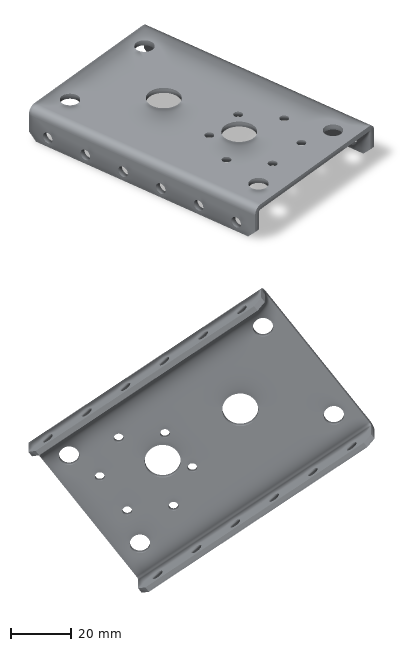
import cadquery as cq
import math

length = 96.0
width = 64.0
height = 12.7
thickness = 2.0
outer_bend_radius = 3.0
inner_bend_radius = outer_bend_radius - thickness
corner_chamfer = 3.0

flange_hole_diameter = 4.0
flange_hole_count = 6
flange_hole_pitch = length / flange_hole_count
flange_hole_z = 3.6

mount_hole_diameter = 6.8
mount_spacing_x = 80.0
mount_spacing_y = 40.0
large_hole_diameter = 12.0
large_hole_spacing = 2 * flange_hole_pitch
ring_hole_diameter = 3.3
ring_diameter = 31.0
ring_hole_count = 6
ring_center_x = 22.8


def channel():
    """U-shaped section with rounded bends, centred on X and Y and standing on Z = 0."""
    inner_width = width - 2 * thickness
    inner_height = height - thickness
    outside = (
        cq.Workplane("XY").box(length, width, height, centered=(True, True, False))
        .edges("|X and >Z").fillet(outer_bend_radius)
    )
    inside = (
        cq.Workplane("XY").box(length, inner_width, inner_height, centered=(True, True, False))
        .edges("|X and >Z").fillet(inner_bend_radius)
    )
    return outside.cut(inside).edges("|Y and <Z").chamfer(corner_chamfer)


def plate_holes(points, diameter):
    """Vertical cutters through the top plate."""
    return cq.Workplane("XY").pushPoints(points).circle(diameter / 2).extrude(height)


def flange_holes():
    """Cutters along Y that pass through both flanges."""
    return (
        cq.Workplane("XZ").center(0, flange_hole_z)
        .rarray(flange_hole_pitch, 1, flange_hole_count, 1)
        .circle(flange_hole_diameter / 2).extrude(width, both=True)
    )


mount_points = [
    (sx * mount_spacing_x / 2, sy * mount_spacing_y / 2) for sx in (-1, 1) for sy in (-1, 1)
]
large_points = [(-large_hole_spacing / 2, 0), (large_hole_spacing / 2, 0)]

ring_points = []
for i in range(ring_hole_count):
    angle = math.pi / 2 + i * 2 * math.pi / ring_hole_count
    ring_points.append(
        (ring_center_x + ring_diameter / 2 * math.cos(angle), ring_diameter / 2 * math.sin(angle))
    )

result = (
    channel()
    .cut(flange_holes())
    .cut(plate_holes(mount_points, mount_hole_diameter))
    .cut(plate_holes(large_points, large_hole_diameter))
    .cut(plate_holes(ring_points, ring_hole_diameter))
)